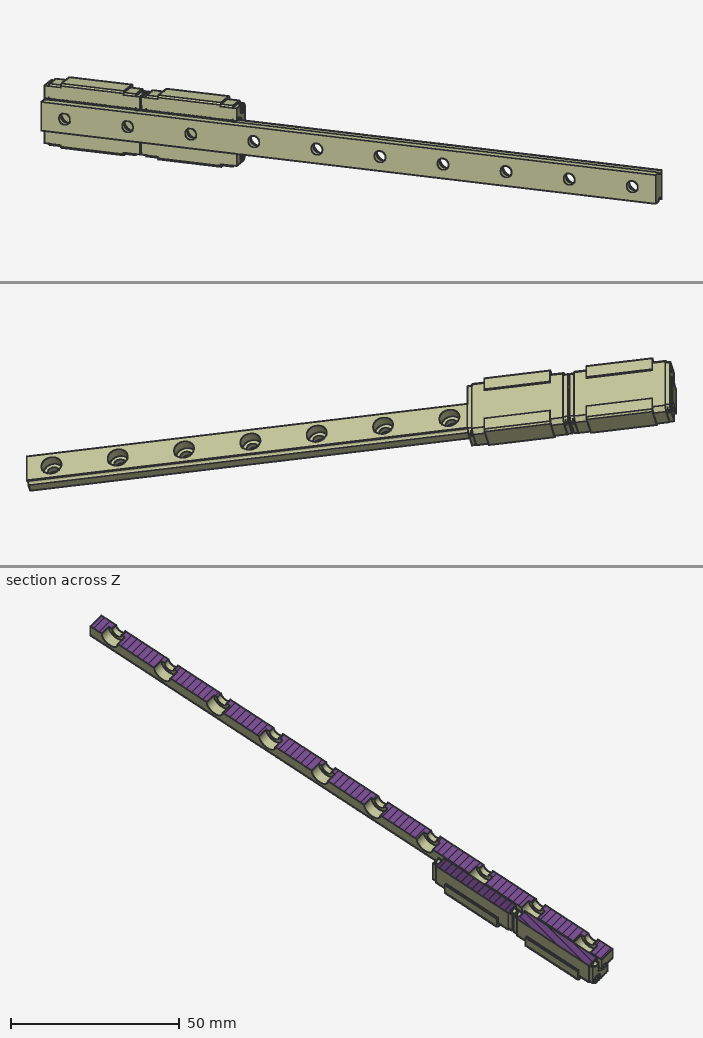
import cadquery as cq

rail_length = 195.0
total_height = 10.0
total_width = 20.0

rail_width = 9.0
rail_height = 5.3
groove_drop = 1.46
groove_opening = 2.0
groove_depth = 0.88
hole_count = 10
end_margin = 7.5
hole_diameter = 3.5
counterbore_diameter = 6.0
counterbore_depth = 3.3

carriage_count = 2
carriage_start = 0.2
carriage_length = 30.2
carriage_spacing = 0.5
carriage_bottom = 2.1
running_gap = 0.2
mouth_gap = 0.5
block_length = 19.9
lower_chamfer = 0.5
block_chamfer = 0.5
recess_width = 11.0
cap_width = 19.1
cap_height = 9.4
cap_chamfer = 1.4
seal_thickness = 1.4
seal_width = 18.0
seal_height = 9.2
seal_chamfer = 1.2

seal_opening_height = 6.5
seal_opening_top_width = 9.0
seal_opening_width = 11.3
seal_shoulder_width = 10.7
seal_shoulder_height = 5.0
seal_foot_height = 2.7
seal_leg_height = 4.0

screw_height = 7.0
screw_spacing = 15.0
screw_pocket_diameter = 3.0
screw_head_diameter = 2.5
screw_socket_diameter = 1.5
screw_pocket_depth = 0.8
screw_head_height = 0.5
oil_hole_diameter = 1.5
oil_hole_offset = 1.11

carriage_pitch = carriage_length + carriage_spacing
carriage_mid = carriage_length / 2
cap_length = carriage_length - 2 * seal_thickness
hole_pitch = (rail_length - 2 * end_margin) / (hole_count - 1)
groove_height = rail_height - groove_drop
oil_hole_height = seal_opening_height + oil_hole_offset


def side_plane(x):
    """Plane across the rail at x, with local x along Z, local y along Y and normal -X."""
    return cq.Workplane(cq.Plane(origin=(x, 0, 0), xDir=(0, 0, 1), normal=(-1, 0, 0)))


def mirrored_bar(half_outline, start, length):
    """Prism along +X whose outline is a list of (z, y) points and its mirror image."""
    other_half = [(-z, y) for z, y in reversed(half_outline)]
    return side_plane(start).polyline(half_outline + other_half).close().extrude(-length)


def rail_bar(gap, foot_gap):
    """Rail section grown by gap on the sides and top, and by foot_gap below the ball grooves."""
    side = rail_width / 2 + gap
    foot = rail_width / 2 + foot_gap
    top = rail_height + gap
    groove_low = groove_height - groove_opening / 2
    groove_high = groove_height + groove_opening / 2
    groove_floor = side - groove_depth
    return (
        side_plane(0)
        .moveTo(foot, 0)
        .lineTo(foot, groove_low)
        .threePointArc((groove_floor, groove_height), (side, groove_high))
        .lineTo(side, top)
        .lineTo(-side, top)
        .lineTo(-side, groove_high)
        .threePointArc((-groove_floor, groove_height), (-foot, groove_low))
        .lineTo(-foot, 0)
        .close()
        .extrude(-rail_length)
    )


def make_rail():
    """Rail with a ball groove on each side and counterbored mounting holes."""
    centers = [(end_margin + i * hole_pitch, 0) for i in range(hole_count)]
    top_plane = cq.Workplane("XZ", origin=(0, rail_height, 0))
    holes = top_plane.pushPoints(centers).circle(hole_diameter / 2).extrude(rail_height)
    counterbores = (
        top_plane.pushPoints(centers).circle(counterbore_diameter / 2).extrude(counterbore_depth)
    )
    return rail_bar(0, 0).cut(holes).cut(counterbores)


def centered_bar(length, width, height, top_chamfer):
    """Bar centred on the carriage, standing on its underside, with its upper edges chamfered."""
    return (
        cq.Workplane("XY")
        .box(length, height - carriage_bottom, width)
        .translate((carriage_mid, (height + carriage_bottom) / 2, 0))
        .edges("|X and >Y")
        .chamfer(top_chamfer)
    )


def make_block():
    """Steel middle of the carriage, with chamfered edges and a recess along its top."""
    block = centered_bar(block_length, total_width, total_height, block_chamfer)
    block = block.edges("|X and <Y").chamfer(lower_chamfer)
    recess_depth = total_height - cap_height
    recess = (
        cq.Workplane("XY")
        .box(block_length, recess_depth, recess_width)
        .translate((carriage_mid, total_height - recess_depth / 2, 0))
    )
    return block.cut(recess)


def seal_details():
    """Cuts in the seal at x = 0: its opening, the screw pockets and the oil hole."""
    opening = mirrored_bar(
        [
            (rail_width / 2 + mouth_gap, carriage_bottom),
            (seal_opening_width / 2, seal_foot_height),
            (seal_opening_width / 2, seal_leg_height),
            (seal_shoulder_width / 2, seal_shoulder_height),
            (seal_opening_top_width / 2, seal_opening_height),
        ],
        0,
        seal_thickness,
    )
    oil_hole = (
        side_plane(0)
        .center(0, oil_hole_height)
        .circle(oil_hole_diameter / 2)
        .extrude(-seal_thickness)
    )
    cuts = opening.union(oil_hole)
    head_face = screw_pocket_depth - screw_head_height
    for z in (-screw_spacing / 2, screw_spacing / 2):
        pocket = (
            side_plane(0)
            .center(z, screw_height)
            .circle(screw_pocket_diameter / 2)
            .extrude(-screw_pocket_depth)
        )
        head = (
            side_plane(head_face)
            .center(z, screw_height)
            .circle(screw_head_diameter / 2)
            .circle(screw_socket_diameter / 2)
            .extrude(-screw_head_height)
        )
        cuts = cuts.union(pocket.cut(head))
    return cuts


def make_carriage(start):
    """Carriage with its block, end caps and seals in one solid, starting at x = start."""
    body = centered_bar(carriage_length, seal_width, seal_height, seal_chamfer)
    caps = centered_bar(cap_length, cap_width, cap_height, cap_chamfer)
    body = body.union(caps.edges("|X and <Y").chamfer(lower_chamfer))
    body = body.union(make_block())
    near_seal = seal_details()
    far_seal = near_seal.mirror("YZ").translate((carriage_length, 0, 0))
    body = body.cut(near_seal).cut(far_seal).cut(rail_bar(running_gap, mouth_gap))
    return body.translate((start, 0, 0))


rail = make_rail()
carriages = [make_carriage(carriage_start + i * carriage_pitch) for i in range(carriage_count)]

bodies = [rail, *carriages]
result = cq.Compound.makeCompound([body.solids().val() for body in bodies])